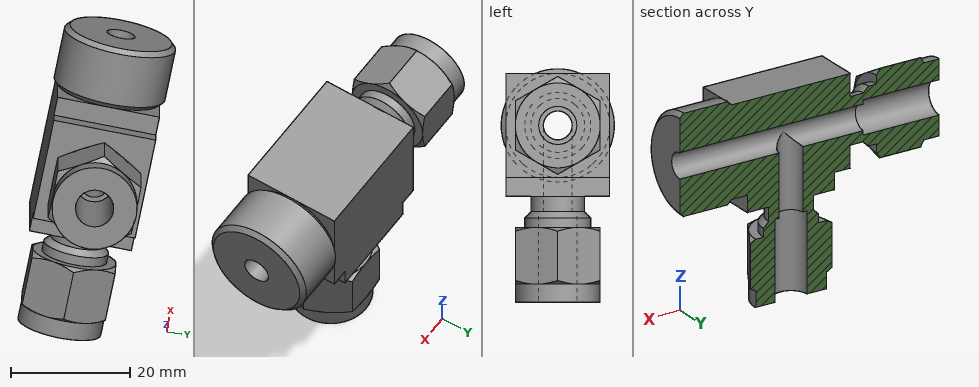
import math

import cadquery as cq


BAR_SIDE = 17.46
BRANCH_STEP = 3.175
BODY_REACH = BAR_SIDE / 2 + BRANCH_STEP

MALE_DIAMETER = 19.05
MALE_LENGTH = 10.45
MALE_CHAMFER = 0.8
MALE_END_REACH = BODY_REACH + MALE_LENGTH

TUBE_END_REACH = 29.715
NUT_RIM_LENGTH = 3.05
HEX_LENGTH = 9.55
HEX_ACROSS_FLATS = 14.25
HEX_CHAMFER_ANGLE = 30.0
COLLAR_DIAMETER = 11.1
COLLAR_LENGTH = 1.6
NECK_DIAMETER = 9.05

TUBE_SOCKET_DIAMETER = 6.4
TUBE_SOCKET_DEPTH = 15.24
BORE_DIAMETER = 4.8

TOWARD_PLUS_X = 90
TOWARD_MINUS_X = -90
TOWARD_MINUS_Z = 180

HEX_CORNER_RADIUS = HEX_ACROSS_FLATS / math.sqrt(3)
HEX_OUTER = TUBE_END_REACH - NUT_RIM_LENGTH
HEX_INNER = HEX_OUTER - HEX_LENGTH
COLLAR_INNER = HEX_INNER - COLLAR_LENGTH


def cylinder(diameter, start, end):
    """Cylinder on the Z axis between two heights."""
    return cq.Workplane("XY").workplane(offset=start).circle(diameter / 2).extrude(end - start)


def chamfered_hex():
    """Hex on the Z axis with corners on +-X, its corners cut by a cone at both ends."""
    flat_radius = HEX_ACROSS_FLATS / 2
    chamfer_height = (HEX_CORNER_RADIUS - flat_radius) * math.tan(math.radians(HEX_CHAMFER_ANGLE))
    prism = (
        cq.Workplane("XY")
        .workplane(offset=HEX_INNER)
        .polygon(6, 2 * HEX_CORNER_RADIUS)
        .extrude(HEX_LENGTH)
    )
    envelope = (
        cq.Workplane("XZ")
        .moveTo(0, HEX_INNER)
        .lineTo(flat_radius, HEX_INNER)
        .lineTo(HEX_CORNER_RADIUS, HEX_INNER + chamfer_height)
        .lineTo(HEX_CORNER_RADIUS, HEX_OUTER - chamfer_height)
        .lineTo(flat_radius, HEX_OUTER)
        .lineTo(0, HEX_OUTER)
        .close()
        .revolve(360, (0, 0), (0, 1))
    )
    return prism.intersect(envelope)


def tube_end():
    """Neck, collar and hex nut pointing along +Z."""
    collar_bevel = (COLLAR_DIAMETER - NECK_DIAMETER) / 2
    neck = cylinder(NECK_DIAMETER, 0, HEX_INNER)
    collar = cylinder(COLLAR_DIAMETER, COLLAR_INNER - collar_bevel, HEX_INNER)
    collar = collar.faces("<Z").chamfer(collar_bevel)
    rim = cylinder(HEX_ACROSS_FLATS, HEX_OUTER, TUBE_END_REACH)
    return neck.union(collar).union(chamfered_hex()).union(rim)


def tube_bore():
    """Tube socket and the smaller bore behind it, ending on the other axis."""
    socket = cylinder(TUBE_SOCKET_DIAMETER, TUBE_END_REACH - TUBE_SOCKET_DEPTH, TUBE_END_REACH)
    return cylinder(BORE_DIAMETER, 0, TUBE_END_REACH).union(socket)


def body():
    """Run bar with the branch bar stepped out below it."""
    run_bar = cq.Workplane("XY").box(2 * BODY_REACH, BAR_SIDE, BAR_SIDE)
    branch_bar = cq.Workplane("XY").rect(BAR_SIDE, BAR_SIDE).extrude(-BODY_REACH)
    return run_bar.union(branch_bar)


def male_end():
    """Chamfered cylinder standing off the body along +Z."""
    return cylinder(MALE_DIAMETER, BODY_REACH, MALE_END_REACH).edges().chamfer(MALE_CHAMFER)


def turn_from_z(shape, angle):
    """Turn a shape built along +Z about the Y axis."""
    return shape.rotate((0, 0, 0), (0, 1, 0), angle)


result = body().union(turn_from_z(male_end(), TOWARD_PLUS_X))
for direction in (TOWARD_MINUS_X, TOWARD_MINUS_Z):
    result = result.union(turn_from_z(tube_end(), direction))

for direction in (TOWARD_MINUS_X, TOWARD_MINUS_Z):
    result = result.cut(turn_from_z(tube_bore(), direction))
result = result.cut(turn_from_z(cylinder(BORE_DIAMETER, 0, MALE_END_REACH), TOWARD_PLUS_X))